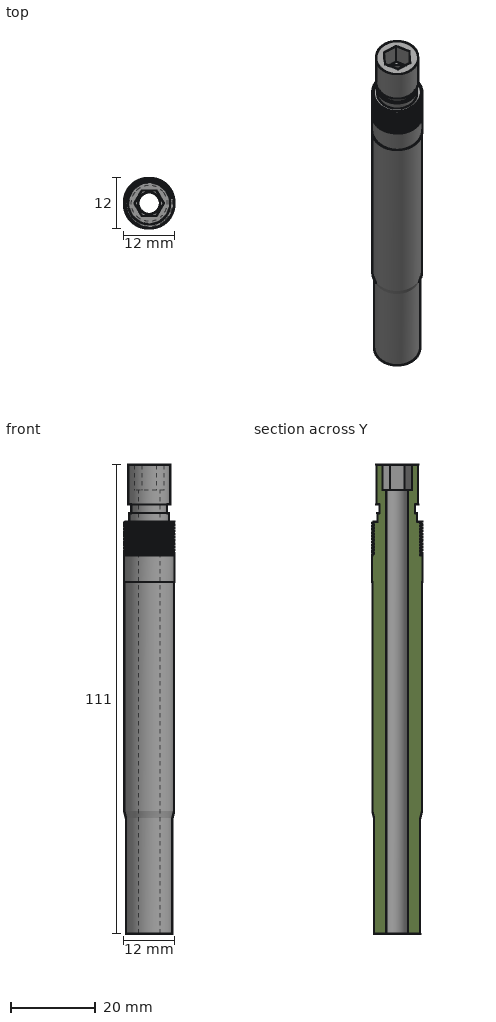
import cadquery as cq
import math

TAIL_TOP = 27.3
TAPER_TOP = 29.0
COLLAR_BOTTOM = 83.2
THREAD_BOTTOM = 89.5
THREAD_TOP = 97.5
NECK_BOTTOM = 99.5
HEAD_BOTTOM = 101.6
HEAD_TOP = 111.0

TAIL_DIAMETER = 11.0
BODY_DIAMETER = 11.85
COLLAR_DIAMETER = 12.0
SPIGOT_DIAMETER = 9.5
NECK_DIAMETER = 8.5
HEAD_DIAMETER = 10.0
BORE_DIAMETER = 5.1

SOCKET_ACROSS_FLATS = 6.0
SOCKET_DEPTH = 6.0

THREAD_PITCH = 0.75
THREAD_ROOT_DIAMETER = 11.04
THREAD_FLANK_ANGLE = 30.0
THREAD_LEAD_IN = 1.25
THREAD_CREST_FLAT = THREAD_PITCH / 8
RIDGE_OVERLAP = 0.05


def cylinder(diameter, bottom, top):
    """Upright cylinder on the Z axis between two heights."""
    return cq.Workplane("XY").workplane(offset=bottom).circle(diameter / 2).extrude(top - bottom)


def taper():
    """Short cone that joins the tail to the body."""
    return (
        cq.Workplane("XY")
        .workplane(offset=TAIL_TOP)
        .circle(TAIL_DIAMETER / 2)
        .workplane(offset=TAPER_TOP - TAIL_TOP)
        .circle(BODY_DIAMETER / 2)
        .loft()
    )


def thread_ridge():
    """Helical ridge, made longer than the thread at both ends."""
    inner_radius = THREAD_ROOT_DIAMETER / 2 - RIDGE_OVERLAP
    crest_radius = COLLAR_DIAMETER / 2
    crest_half_width = THREAD_CREST_FLAT / 2
    flank_run = (crest_radius - inner_radius) * math.tan(math.radians(THREAD_FLANK_ANGLE))
    inner_half_width = crest_half_width + flank_run
    start = THREAD_BOTTOM - THREAD_LEAD_IN * THREAD_PITCH
    length = THREAD_TOP - THREAD_BOTTOM + 2 * THREAD_LEAD_IN * THREAD_PITCH

    corners = [
        (inner_radius, -inner_half_width),
        (crest_radius, -crest_half_width),
        (crest_radius, crest_half_width),
        (inner_radius, inner_half_width),
    ]
    helices = [
        cq.Wire.makeHelix(THREAD_PITCH, length, radius, center=cq.Vector(0, 0, start + rise))
        for radius, rise in corners
    ]
    next_helices = helices[1:] + helices[:1]
    faces = [cq.Face.makeRuledSurface(edge, other) for edge, other in zip(helices, next_helices, strict=True)]
    lower_end = cq.Wire.makePolygon([helix.startPoint() for helix in helices], close=True)
    upper_end = cq.Wire.makePolygon([helix.endPoint() for helix in helices], close=True)
    faces.append(cq.Face.makeFromWires(lower_end))
    faces.append(cq.Face.makeFromWires(upper_end))
    return cq.Workplane(obj=cq.Solid.makeSolid(cq.Shell.makeShell(faces)))


def threaded_section():
    """Thread core with its ridge, cut off square at both ends."""
    overrun = 2 * THREAD_LEAD_IN * THREAD_PITCH
    core = cylinder(THREAD_ROOT_DIAMETER, THREAD_BOTTOM - overrun, THREAD_TOP + overrun)
    trim = cylinder(2 * COLLAR_DIAMETER, THREAD_BOTTOM, THREAD_TOP)
    return core.union(thread_ridge()).intersect(trim)


def hex_socket():
    """Hexagon pocket in the head with two corners on the X axis."""
    across_corners = SOCKET_ACROSS_FLATS / math.cos(math.radians(30))
    return (
        cq.Workplane("XY")
        .workplane(offset=HEAD_TOP - SOCKET_DEPTH)
        .polygon(6, across_corners)
        .extrude(SOCKET_DEPTH)
    )


sections = [
    taper(),
    cylinder(BODY_DIAMETER, TAPER_TOP, COLLAR_BOTTOM),
    cylinder(COLLAR_DIAMETER, COLLAR_BOTTOM, THREAD_BOTTOM),
    threaded_section(),
    cylinder(SPIGOT_DIAMETER, THREAD_TOP, NECK_BOTTOM),
    cylinder(NECK_DIAMETER, NECK_BOTTOM, HEAD_BOTTOM),
    cylinder(HEAD_DIAMETER, HEAD_BOTTOM, HEAD_TOP),
]

result = cylinder(TAIL_DIAMETER, 0, TAIL_TOP)
for section in sections:
    result = result.union(section)

result = result.cut(hex_socket()).cut(cylinder(BORE_DIAMETER, 0, HEAD_TOP))